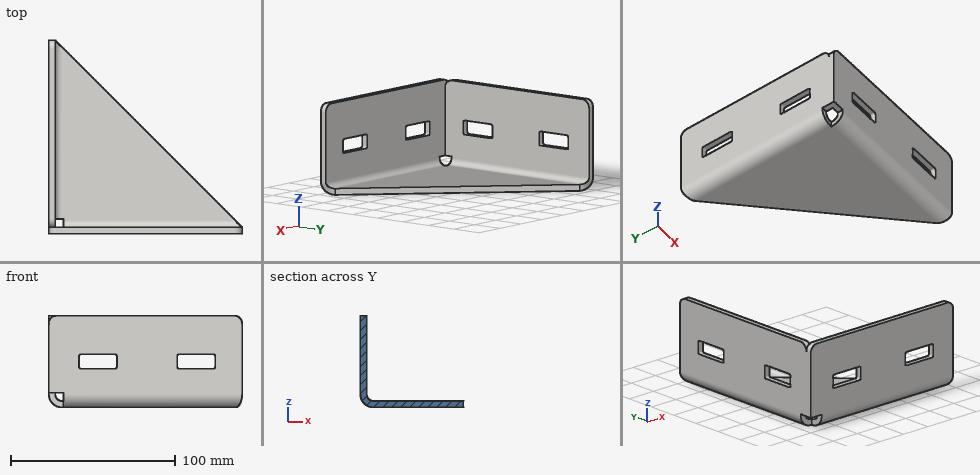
import cadquery as cq
import math

side = 118.0
height = 56.0
thickness = 4.0
bend_inner_radius = 4.0
bend_outer_radius = bend_inner_radius + thickness
relief = 9.0
corner_radius = 5.0
slot_length = 23.0
slot_height = 8.7
slot_corner_radius = 1.2
slot_spacing = 60.0
slot_count = 2
first_slot_center = 30.0
slot_center_z = height / 2
trim_margin = 1.2
trim_margin_angle = math.radians(5)


def wall(start):
    """Flat wall along X above the bend, from x = start to the far end, with rounded upper corners."""
    return (
        cq.Workplane("XY")
        .box(side - start, thickness, height - bend_outer_radius, centered=False)
        .translate((start, 0, bend_outer_radius))
        .edges("|Y and >Z")
        .fillet(corner_radius)
    )


def slots():
    """Cutters for the slots through the wall along X."""
    centers = [(first_slot_center + i * slot_spacing, slot_center_z) for i in range(slot_count)]
    return (
        cq.Workplane("XZ")
        .pushPoints(centers)
        .rect(slot_length, slot_height)
        .extrude(-thickness)
        .edges("|Y")
        .fillet(slot_corner_radius)
    )


def bend_end_edge(radius):
    """Curve of the trimmed bend end at one radius; the angle is zero at the wall, 90 degrees at the floor."""

    def point(angle):
        return (
            side - bend_inner_radius * (1 - math.cos(angle)),
            bend_outer_radius - radius * math.cos(angle),
            bend_outer_radius - radius * math.sin(angle),
        )

    curve = cq.Workplane("XY").parametricCurve(
        point, start=-trim_margin_angle, stop=math.pi / 2 + trim_margin_angle, makeWire=False
    )
    return curve.val()


def bend():
    """Quarter tube along X; its inner edge follows the floor diagonal, and its end is cut radially."""
    tube = (
        cq.Workplane("YZ")
        .center(bend_outer_radius, bend_outer_radius)
        .circle(bend_outer_radius)
        .circle(bend_inner_radius)
        .extrude(side)
    )
    quadrant = (
        cq.Workplane("XY")
        .box(side - relief, bend_outer_radius, bend_outer_radius, centered=False)
        .translate((relief, 0, 0))
    )
    end_face = cq.Face.makeRuledSurface(
        bend_end_edge(bend_inner_radius - trim_margin),
        bend_end_edge(bend_outer_radius + trim_margin),
    )
    end_trim = cq.Solid.extrudeLinear(end_face, cq.Vector(bend_outer_radius, 0, 0))
    return tube.intersect(quadrant).cut(cq.Workplane(end_trim))


def swap_x_and_y(body):
    """Mirror a shape about the plane x = y."""
    return body.mirror("XZ").rotate((0, 0, 0), (0, 0, 1), 90)


floor_reach = side + thickness - bend_outer_radius
floor = (
    cq.Workplane("XY")
    .polyline([
        (bend_outer_radius, bend_outer_radius),
        (floor_reach, bend_outer_radius),
        (bend_outer_radius, floor_reach),
    ])
    .close()
    .extrude(thickness)
)

corner_relief = cq.Workplane("XY").box(relief, relief, relief, centered=False)
floor = floor.cut(corner_relief)

front_wall = wall(0).cut(corner_relief)
side_wall = swap_x_and_y(wall(thickness)).cut(corner_relief)

front_bend = bend()
side_bend = swap_x_and_y(front_bend)

bracket = floor.union(front_bend).union(side_bend).union(front_wall).union(side_wall)
result = bracket.cut(slots()).cut(swap_x_and_y(slots()))